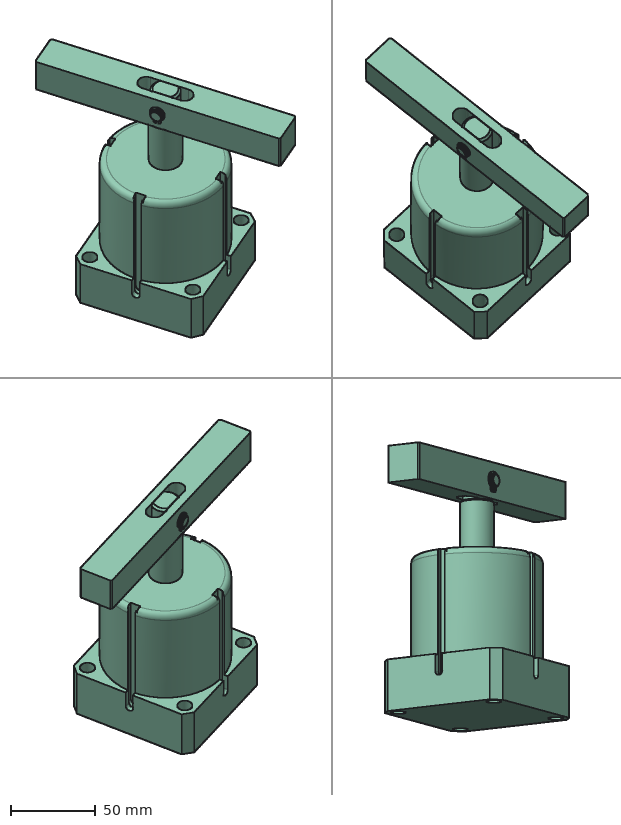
import cadquery as cq

block_side = 83.0
block_height = 31.0
block_corner_chamfer = 5.5
barrel_diameter = 78.0
barrel_top = 95.0
barrel_rim_radius = 4.0
bolt_hole_diameter = 9.0
bolt_hole_offset = 33.6

groove_throat_width = 5.0
groove_inner_width = 6.5
groove_inner_outer_radius = 37.8
groove_floor_radius = 34.2
groove_bottom = 18.2

arm_length = 160.0
arm_width = 22.0
arm_top = 151.0
arm_end_chamfer = 1.0
arm_slot_length = 35.5
arm_slot_width = 10.5

rod_diameter = 20.2
rod_chamfer = 1.0
shoulder_clearance = 0.3
tongue_thickness = 10.0
tongue_chamfer = 1.5

pin_diameter = 8.0
pin_length = 27.5
pin_end_chamfer = 0.6

clip_diameter = 9.6
clip_rise = 0.5
clip_thickness = 0.8
clip_bore_diameter = 7.0
clip_lug_width = 4.8
clip_lug_drop = 6.9
clip_lug_corner_radius = 1.6
clip_gap = 1.6

groove_bottom_center = groove_bottom + groove_throat_width / 2
arm_bottom = arm_top - arm_width
shoulder_height = arm_bottom - shoulder_clearance
pivot_height = arm_top - arm_width / 2


def along_y(diameter, start_y, length, height):
    """Cylinder whose axis runs along +Y at x = 0."""
    return (
        cq.Workplane("XZ", origin=(0, start_y, height))
        .circle(diameter / 2)
        .extrude(-length)
    )


def groove_slot(width, inner_radius, outer_radius):
    """Upright slot on the -Y side with a round bottom, open at the top."""
    depth = outer_radius - inner_radius
    straight = (
        cq.Workplane("XY", origin=(0, -(inner_radius + depth / 2), groove_bottom_center))
        .rect(width, depth)
        .extrude(barrel_top - groove_bottom_center)
    )
    round_bottom = along_y(width, -outer_radius, depth, groove_bottom_center)
    return straight.union(round_bottom)


def make_groove():
    throat = groove_slot(groove_throat_width, groove_floor_radius, block_side / 2)
    undercut = groove_slot(groove_inner_width, groove_floor_radius, groove_inner_outer_radius)
    return throat.union(undercut)


def make_housing():
    block = (
        cq.Workplane("XY")
        .rect(block_side, block_side)
        .extrude(block_height)
        .edges("|Z")
        .chamfer(block_corner_chamfer)
        .faces(">Z")
        .workplane()
        .rect(2 * bolt_hole_offset, 2 * bolt_hole_offset, forConstruction=True)
        .vertices()
        .hole(bolt_hole_diameter)
    )
    barrel = (
        cq.Workplane("XY", origin=(0, 0, block_height))
        .circle(barrel_diameter / 2)
        .extrude(barrel_top - block_height)
        .faces(">Z")
        .edges()
        .fillet(barrel_rim_radius)
    )
    body = block.union(barrel)
    groove = make_groove()
    for side in range(4):
        body = body.cut(groove.rotate((0, 0, 0), (0, 0, 1), 90 * side))
    return body


def make_pin_bore():
    """Bore shared by the arm and the rod tongue, filled by the pivot pin."""
    return along_y(pin_diameter, -arm_width / 2, arm_width, pivot_height)


def make_rod():
    shank = (
        cq.Workplane("XY", origin=(0, 0, barrel_top))
        .circle(rod_diameter / 2)
        .extrude(shoulder_height - barrel_top)
        .faces(">Z")
        .chamfer(rod_chamfer)
    )
    tongue_height = arm_top - shoulder_height
    tongue_round = (
        cq.Workplane("XY", origin=(0, 0, shoulder_height))
        .circle(rod_diameter / 2 - rod_chamfer)
        .extrude(tongue_height)
        .faces(">Z")
        .chamfer(tongue_chamfer)
    )
    flats = (
        cq.Workplane("XY", origin=(0, 0, shoulder_height))
        .rect(rod_diameter, tongue_thickness)
        .extrude(tongue_height)
    )
    tongue = tongue_round.intersect(flats)
    return shank.union(tongue).cut(make_pin_bore())


def make_arm():
    bar = (
        cq.Workplane("XY", origin=(0, 0, arm_bottom))
        .rect(arm_length, arm_width)
        .extrude(arm_width)
        .edges("|Z")
        .chamfer(arm_end_chamfer)
    )
    slot = (
        cq.Workplane("XY", origin=(0, 0, arm_bottom))
        .slot2D(arm_slot_length, arm_slot_width)
        .extrude(arm_width)
    )
    return bar.cut(slot).cut(make_pin_bore())


clip_starts = (-arm_width / 2 - clip_thickness, arm_width / 2)


def make_clip(start_y):
    """Eccentric snap ring with two round-cornered lugs divided by a gap."""
    ring = along_y(clip_diameter, start_y, clip_thickness, pivot_height + clip_rise)
    lug_base = cq.Workplane("XY", origin=(0, start_y + clip_thickness / 2, pivot_height - clip_lug_drop))
    lugs = (
        lug_base.rect(clip_lug_width, clip_thickness)
        .extrude(clip_lug_drop)
        .faces("<Z")
        .edges("|Y")
        .fillet(clip_lug_corner_radius)
    )
    gap = lug_base.rect(clip_gap, clip_thickness).extrude(clip_lug_drop)
    bore = along_y(clip_bore_diameter, start_y, clip_thickness, pivot_height)
    return ring.union(lugs).cut(gap).cut(bore)


def make_pin():
    pin = (
        along_y(pin_diameter, -pin_length / 2, pin_length, pivot_height)
        .faces("<Y or >Y")
        .chamfer(pin_end_chamfer)
    )
    for start_y in clip_starts:
        collar = along_y(pin_diameter, start_y, clip_thickness, pivot_height)
        neck = along_y(clip_bore_diameter, start_y, clip_thickness, pivot_height)
        pin = pin.cut(collar.cut(neck))
    return pin


housing = make_housing()
rod = make_rod()
arm = make_arm()
pin = make_pin()
clips = [make_clip(start_y) for start_y in clip_starts]

result = cq.Compound.makeCompound(
    [housing.val(), rod.val(), arm.val(), pin.val(), *[clip.val() for clip in clips]]
)